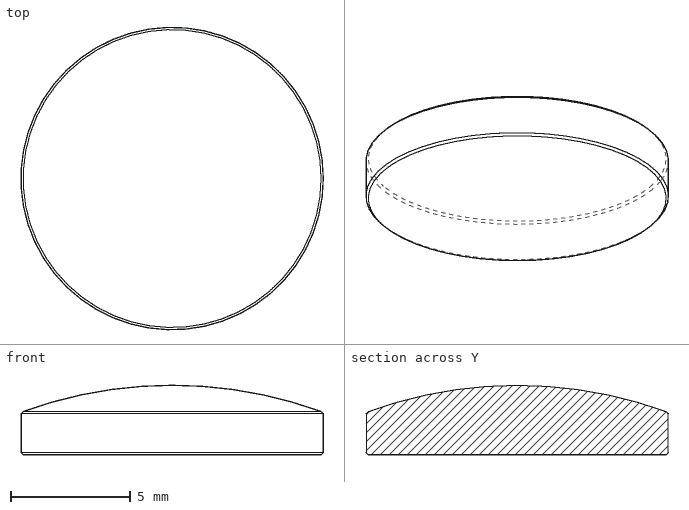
import cadquery as cq
import math

diameter = 12.7
center_thickness = 2.93
bevel = 0.1
dome_sag = 1.1

radius = diameter / 2
rim_radius = radius - bevel
rim_height = center_thickness - dome_sag
sphere_radius = (rim_radius**2 + dome_sag**2) / (2 * dome_sag)

half_angle = math.asin(rim_radius / sphere_radius) / 2
dome_mid = (
    sphere_radius * math.sin(half_angle),
    center_thickness - sphere_radius * (1 - math.cos(half_angle)),
)


def lens():
    """Half profile in the XZ plane, revolved about the optical axis."""
    profile = (
        cq.Workplane("XZ")
        .lineTo(rim_radius, 0)
        .lineTo(radius, bevel)
        .lineTo(radius, rim_height - bevel)
        .lineTo(rim_radius, rim_height)
        .threePointArc(dome_mid, (0, center_thickness))
        .close()
    )
    return profile.revolve(360, (0, 0, 0), (0, 1, 0))


result = lens()